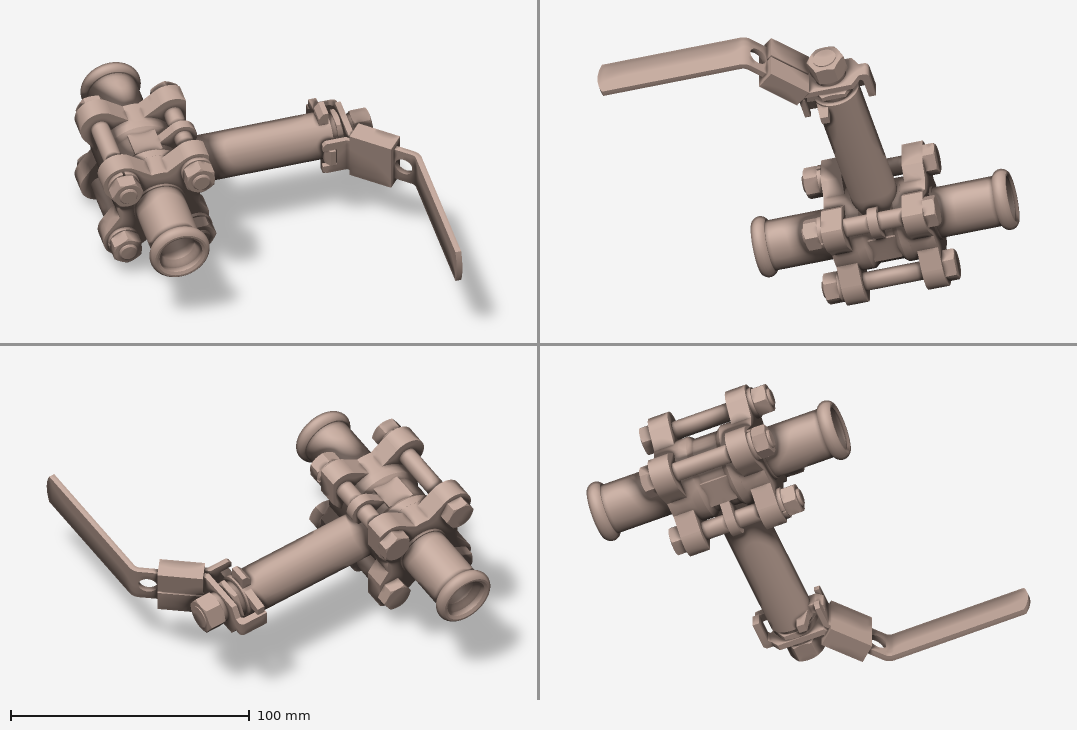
import cadquery as cq
import math


pipe_half_length = 55.25
pipe_radius = 21.4 / 2
bead_radius = 13.0
bead_face_radius = 22.8 / 2
bead_length = 6.0
mouth_radius = 21.0 / 2
mouth_depth = 0.8
lip_radius = 18.6 / 2
socket_radius = 20.0 / 2
socket_start_depth = 1.5
socket_depth = 4.05
bore_radius = 15.0 / 2
bore_cone_depth = 6.55
weld_radius = 22.8 / 2
weld_length = 1.1

flange_outer_x = 22.0
flange_inner_x = 13.0
flange_radius = 35.4 / 2
flange_top_y = 21.5
bolt_offset = 15.9
ear_radius = 8.5
valley_half_width = 3.4
seat_outer_x = 11.1
seat_radius = 35.5 / 2
seat_inner_x = 7.5
body_half_width = 5.3
body_radius = 16.0
pad_side = 12.0
lug_thickness = 4.2
lug_radius = 6.2

hex_flat_ratio = math.cos(math.pi / 6)
hex_chamfer_slope = math.tan(math.radians(30.0))

bolt_radius = 7.9 / 2
bolt_end_x = 31.0
bolt_end_chamfer = 0.6
bolt_hex_corners = 13.6
bolt_head_height = 5.1
bolt_nut_height = 6.2
spring_washer_radius = 6.7
spring_washer_thickness = 1.7
spring_washer_gap = 1.0

stem_radius = 20.0 / 2
stem_start_y = 12.0
stem_top_y = 79.6
neck_radius = 15.9 / 2
gland_nut_start_y = 82.0
gland_nut_height = 2.4
gland_nut_corners = 20.0
spindle_radius = 9.8 / 2
spindle_top_y = 98.1
lever_washer_radius = 6.7
lever_washer_height = 1.9
lever_nut_corners = 16.1
lever_nut_height = 8.0

stop_reach = 15.25
stop_top_y = 78.8
lock_stub_width = 7.7
lock_stub_height = 4.2
lock_stub_chamfer = 2.0
lock_stub_chamfer_reach = 2.6
stop_arm_height = 3.4
stop_arm_inner = 3.5
stop_arm_tip_outer = 7.0
stop_arm_root_outer = 8.6
stop_arm_root = 5.1

lever_thickness = 2.5
lever_width = 16.5
lever_plate_y = 85.25
lever_grip_top_y = 111.0
lever_tip_x = 94.83
lever_tip_rise = 1.9
lever_slope = math.radians(49.4)
slope_start_x = 10.6
grip_bend_radius = 3.0
lever_taper_start_x = -12.1
lever_taper_end_x = -9.1
lever_hole_diameter = 8.0
lever_hole_y = 106.2
finger_outer_x = -16.2
finger_thickness = 3.0
finger_bottom_y = 74.8
finger_width = 6.9
finger_outer_fillet = 1.9
finger_inner_chamfer = 0.9

slide_length = 19.2
slide_depth = 8.9
slide_width = 22.0
slide_slit = 1.0
slide_bottom_y = 87.5
hook_inner_x = 12.4
hook_thickness = 2.2
hook_bottom_y = 73.4
hook_corner_chamfer = 1.3
hook_bend_y = 83.8
hook_slot_width = 8.6
hook_slot_top_y = 79.5


def cylinder_x(radius, x_start, length):
    return cq.Workplane("YZ").workplane(offset=x_start).circle(radius).extrude(length)


def cylinder_y(radius, y_start, y_end):
    return cq.Workplane("XZ").workplane(offset=-y_start).circle(radius).extrude(y_start - y_end)


def hexagon(corners, height, chamfer_bottom, chamfer_top):
    """Hexagon along +Z from Z = 0 with corners at +-X and its corners rounded off by 30 degree cones."""
    half = corners / 2
    flat = half * hex_flat_ratio
    drop = (half - flat) * hex_chamfer_slope
    bottom = drop if chamfer_bottom else 0.0
    top = drop if chamfer_top else 0.0
    outline = [(0, 0), (flat if chamfer_bottom else half, 0)]
    if chamfer_bottom:
        outline.append((half, bottom))
    if chamfer_top:
        outline.append((half, height - top))
    outline += [(flat if chamfer_top else half, height), (0, height)]
    envelope = cq.Workplane("XZ").polyline(outline).close().revolve(360, (0, 0), (0, 1))
    return cq.Workplane("XY").polygon(6, corners).extrude(height).intersect(envelope)


def pipe_end():
    """Beaded tube on the -X side, with the weld collar at the flange."""
    bead_end_x = -pipe_half_length + bead_length
    bead_middle_x = -pipe_half_length + bead_length / 2
    weld_x = -flange_outer_x - weld_length
    return (
        cq.Workplane("XY")
        .moveTo(-pipe_half_length, 0)
        .lineTo(-pipe_half_length, bead_face_radius)
        .threePointArc((bead_middle_x, bead_radius), (bead_end_x, bead_face_radius))
        .lineTo(bead_end_x, pipe_radius)
        .lineTo(weld_x, pipe_radius)
        .lineTo(weld_x, weld_radius)
        .lineTo(-flange_outer_x, weld_radius)
        .lineTo(-flange_outer_x, 0)
        .close()
        .revolve(360, (0, 0), (1, 0))
    )


def through_bore():
    """Straight bore along X that opens through a cone into a lipped press-fit socket at each end."""
    half_outline = [
        (pipe_half_length, mouth_radius),
        (pipe_half_length - mouth_depth, lip_radius),
        (pipe_half_length - socket_start_depth, socket_radius),
        (pipe_half_length - socket_depth, socket_radius),
        (pipe_half_length - bore_cone_depth, bore_radius),
    ]
    mirrored = [(-x, r) for x, r in reversed(half_outline)]
    outline = [(pipe_half_length, 0)] + half_outline + mirrored + [(-pipe_half_length, 0)]
    return cq.Workplane("XY").polyline(outline).close().revolve(360, (0, 0), (1, 0))


def bolt_arm(radius, root_near, root_far, thickness):
    """Arm from the X axis to the bolt at +Y +Z: a round ear with sides tangent to it.

    The sides start at (root_near, root_far) and at its mirror image about the 45 degree line.
    """
    dy = root_near - bolt_offset
    dz = root_far - bolt_offset
    distance = math.hypot(dy, dz)
    tangent_angle = math.atan2(dz, dy) - math.acos(radius / distance)
    tangent_y = bolt_offset + radius * math.cos(tangent_angle)
    tangent_z = bolt_offset + radius * math.sin(tangent_angle)
    outline = [
        (0, 0),
        (root_near, root_far),
        (tangent_y, tangent_z),
        (bolt_offset, bolt_offset),
        (tangent_z, tangent_y),
        (root_far, root_near),
    ]
    web = cq.Workplane("YZ").polyline(outline).close().extrude(thickness)
    ear = cq.Workplane("YZ").center(bolt_offset, bolt_offset).circle(radius).extrude(thickness)
    return web.union(ear)


def flange():
    """Four-eared flange from flange_inner_x to flange_outer_x with its +Y ears cut flat."""
    thickness = flange_outer_x - flange_inner_x
    valley_reach = math.sqrt(flange_radius**2 - valley_half_width**2)
    shape = cq.Workplane("YZ").circle(flange_radius).extrude(thickness)
    arm = bolt_arm(ear_radius, valley_half_width, valley_reach, thickness)
    for quarter in range(4):
        shape = shape.union(arm.rotate((0, 0, 0), (1, 0, 0), 90 * quarter))
    keep_size = 4 * ear_radius + 4 * bolt_offset
    keep = cq.Workplane("XY").box(keep_size, keep_size, keep_size)
    keep = keep.translate((0, flange_top_y - keep_size / 2, 0))
    return shape.intersect(keep).translate((flange_inner_x, 0, 0))


def valve_body():
    """Waisted body between the flanges with flat pads at +-Z and two bolt lugs."""
    half_outline = [
        (body_half_width, body_radius),
        (seat_inner_x, seat_radius),
        (seat_outer_x, seat_radius),
        (seat_outer_x, flange_radius),
        (flange_inner_x, flange_radius),
    ]
    mirrored = [(-x, r) for x, r in reversed(half_outline)]
    outline = [(-flange_inner_x, 0)] + mirrored + half_outline + [(flange_inner_x, 0)]
    shape = cq.Workplane("XY").polyline(outline).close().revolve(360, (0, 0), (1, 0))
    shape = shape.union(cq.Workplane("XY").box(pad_side, pad_side, 2 * body_radius))
    lug = bolt_arm(lug_radius, pad_side / 2, body_radius, lug_thickness)
    lug = lug.translate((-lug_thickness / 2, 0, 0))
    return shape.union(lug).union(lug.mirror("XY"))


def bolt_set():
    """Bolt at +Y +Z with its head at -X, and a split spring washer and a nut at +X."""
    rod = cylinder_x(bolt_radius, -flange_outer_x, bolt_end_x + flange_outer_x)
    rod = rod.faces(">X").chamfer(bolt_end_chamfer)
    head = hexagon(bolt_hex_corners, bolt_head_height, False, True)
    head = head.rotate((0, 0, 0), (0, 1, 0), -90).translate((-flange_outer_x, 0, 0))
    nut = hexagon(bolt_hex_corners, bolt_nut_height, True, True).rotate((0, 0, 0), (0, 1, 0), 90)
    nut = nut.translate((flange_outer_x + spring_washer_thickness, 0, 0))
    washer = cylinder_x(spring_washer_radius, flange_outer_x, spring_washer_thickness)
    gap = cq.Workplane("XY").box(spring_washer_thickness, spring_washer_radius, spring_washer_gap)
    gap = gap.translate((flange_outer_x + spring_washer_thickness / 2, spring_washer_radius / 2, 0))
    shape = washer.cut(gap).union(rod).union(head).union(nut)
    return shape.translate((0, bolt_offset, bolt_offset))


def hexagon_y(corners, height, y_start, chamfer_bottom):
    nut = hexagon(corners, height, chamfer_bottom, True)
    return nut.rotate((0, 0, 0), (1, 0, 0), -90).translate((0, y_start, 0))


def stem():
    """Extension tube, neck, gland nut, spindle, and the washer and nut that hold the lever."""
    washer_y = lever_plate_y + lever_thickness
    nut_y = washer_y + lever_washer_height
    shape = cylinder_y(stem_radius, stem_start_y, stem_top_y)
    shape = shape.union(cylinder_y(neck_radius, stem_top_y, gland_nut_start_y))
    shape = shape.union(hexagon_y(gland_nut_corners, gland_nut_height, gland_nut_start_y, False))
    shape = shape.union(cylinder_y(spindle_radius, gland_nut_start_y, spindle_top_y))
    shape = shape.union(cylinder_y(lever_washer_radius, washer_y, nut_y))
    return shape.union(hexagon_y(lever_nut_corners, lever_nut_height, nut_y, True))


def lock_stub():
    """Stub towards +X with a sloped lower tip, which the locking slide engages."""
    bottom_y = stop_top_y - lock_stub_height
    outline = [
        (0, stop_top_y),
        (stop_reach, stop_top_y),
        (stop_reach, bottom_y + lock_stub_chamfer),
        (stop_reach - lock_stub_chamfer_reach, bottom_y),
        (0, bottom_y),
    ]
    return cq.Workplane("XY").polyline(outline).close().extrude(lock_stub_width / 2, both=True)


def stop_arm(swap_axes):
    """Arm against which the lever finger rests, towards -X or, with the axes swapped, towards -Z."""
    points = [
        (-stop_reach, stop_arm_inner),
        (-stop_reach, stop_arm_tip_outer),
        (-stop_arm_root, stop_arm_root_outer),
        (-stop_arm_root, stop_arm_inner),
    ]
    if swap_axes:
        points = [(z, x) for x, z in points]
    plane = cq.Workplane("XZ").workplane(offset=-stop_top_y)
    return plane.polyline(points).close().extrude(stop_arm_height)


def stops():
    stub = lock_stub()
    shape = stub.union(stub.rotate((0, 0, 0), (0, 1, 0), -90))
    return shape.union(stop_arm(False)).union(stop_arm(True))


along = (math.cos(lever_slope), math.sin(lever_slope))
across = (math.sin(lever_slope), -math.cos(lever_slope))


def slope_point(y, depth):
    """Point at height y on the line that lies `depth` below the slope's upper surface."""
    start_x = slope_start_x + depth / math.sin(lever_slope)
    rise = y - lever_plate_y - lever_thickness
    return (start_x + rise / math.tan(lever_slope), y)


def lever_strip():
    """Bent strip: flat plate on the spindle, slope, and grip, trimmed to its plan outline."""
    plate_top_y = lever_plate_y + lever_thickness
    grip_bottom_y = lever_grip_top_y - lever_thickness
    start_x = finger_outer_x + finger_thickness / 2
    outline = [
        (start_x, plate_top_y),
        slope_point(plate_top_y, 0),
        slope_point(lever_grip_top_y, 0),
        (lever_tip_x, lever_grip_top_y),
        (lever_tip_x, grip_bottom_y),
        slope_point(grip_bottom_y, lever_thickness),
        slope_point(lever_plate_y, lever_thickness),
        (start_x, lever_plate_y),
    ]
    strip = cq.Workplane("XY").polyline(outline).close().extrude(lever_width / 2, both=True)
    outer_radius = grip_bend_radius + lever_thickness
    grip_bends = [(outline[2], outer_radius), (outline[5], grip_bend_radius)]
    for point, radius in grip_bends:
        corner = cq.selectors.NearestToPointSelector((point[0], point[1], 0))
        strip = strip.edges("|Z").edges(corner).fillet(radius)
    half = lever_width / 2
    tip_corner_x = lever_tip_x - lever_tip_rise
    plan = (
        cq.Workplane("XZ")
        .moveTo(start_x, finger_width / 2)
        .lineTo(lever_taper_start_x, finger_width / 2)
        .lineTo(lever_taper_end_x, half)
        .lineTo(tip_corner_x, half)
        .threePointArc((lever_tip_x, 0), (tip_corner_x, -half))
        .lineTo(lever_taper_end_x, -half)
        .lineTo(lever_taper_start_x, -finger_width / 2)
        .lineTo(start_x, -finger_width / 2)
        .close()
        .extrude(-lever_grip_top_y)
    )
    return strip.intersect(plan)


def lever_finger():
    """Finger bent down from the -X end of the lever plate."""
    plate_top_y = lever_plate_y + lever_thickness
    finger_inner_x = finger_outer_x + finger_thickness
    outline = [
        (finger_outer_x, finger_bottom_y),
        (finger_outer_x, plate_top_y),
        (finger_inner_x + finger_inner_chamfer, plate_top_y),
        (finger_inner_x + finger_inner_chamfer, lever_plate_y),
        (finger_inner_x, lever_plate_y - finger_inner_chamfer),
        (finger_inner_x, finger_bottom_y),
    ]
    finger = cq.Workplane("XY").polyline(outline).close().extrude(finger_width / 2, both=True)
    return finger.edges("|Z and <X and >Y").fillet(finger_outer_fillet)


def slope_plane(x, y):
    """Work plane on the slope: local X runs up the slope, local Y along Z, the normal away from it."""
    return cq.Workplane(cq.Plane((x, y, 0), (along[0], along[1], 0), (-across[0], -across[1], 0)))


def lever_hole():
    """Hole square to the slope, centred lever_hole_y high on its upper surface."""
    x, y = slope_point(lever_hole_y, 0)
    return slope_plane(x, y).circle(lever_hole_diameter / 2).extrude(-lever_thickness)


def slide_sleeve():
    """Block around the slope, slit lengthwise above the strip."""
    end_x, end_y = slope_point(slide_bottom_y, lever_thickness / 2)
    middle_x = end_x + along[0] * slide_length / 2
    middle_y = end_y + along[1] * slide_length / 2
    plane = slope_plane(middle_x, middle_y)
    block = plane.rect(slide_length, slide_width).extrude(slide_depth / 2, both=True)
    slit = plane.workplane(offset=lever_thickness / 2).rect(slide_length, slide_slit)
    return block.cut(slit.extrude(slide_depth))


def slide_hook():
    """Forked plate that hangs from the sleeve and straddles the lock stub."""
    outer_x = hook_inner_x + hook_thickness
    rise = slide_depth / 2
    run = rise / math.tan(lever_slope)
    outline = [
        (hook_inner_x, hook_bottom_y),
        (hook_inner_x, hook_bend_y),
        (hook_inner_x + run, hook_bend_y + rise),
        (outer_x + run, hook_bend_y + rise),
        (outer_x, hook_bend_y),
        (outer_x, hook_bottom_y),
    ]
    plate = cq.Workplane("XY").polyline(outline).close().extrude(lever_width / 2, both=True)
    plate = plate.faces("<Y").edges("|X").chamfer(hook_corner_chamfer)
    slot_height = hook_slot_top_y - hook_bottom_y
    slot = cq.Workplane("XY").box(2 * outer_x, slot_height, hook_slot_width)
    return plate.cut(slot.translate((outer_x, hook_bottom_y + slot_height / 2, 0)))


def main():
    end = pipe_end()
    right_flange = flange()
    shape = valve_body()
    shape = shape.union(right_flange).union(right_flange.mirror("YZ"))
    shape = shape.union(end).union(end.mirror("YZ"))
    bolt = bolt_set()
    for quarter in range(4):
        shape = shape.union(bolt.rotate((0, 0, 0), (1, 0, 0), 90 * quarter))
    shape = shape.union(stem()).union(stops())
    shape = shape.cut(through_bore())
    lever = lever_strip().cut(lever_hole()).union(lever_finger())
    return shape.union(lever).union(slide_sleeve()).union(slide_hook())


result = main()